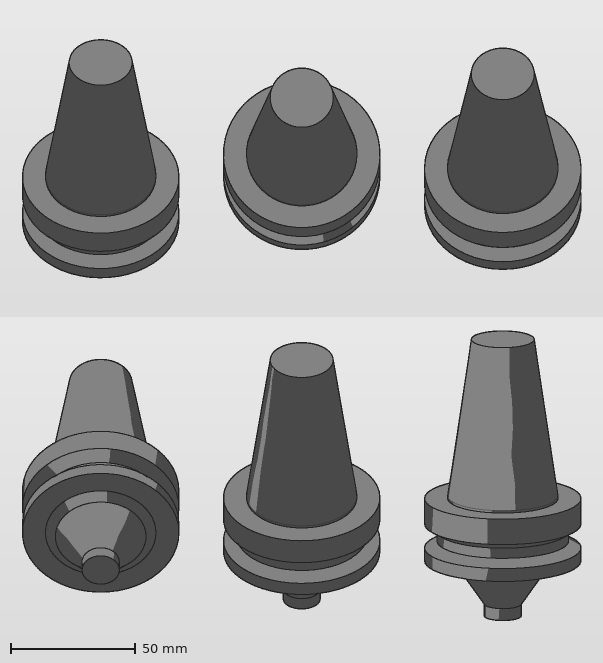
import cadquery as cq
import math


gauge_diameter = 44.45
taper_length = 65.4
taper_ratio = 7 / 24
small_end_diameter = gauge_diameter - taper_ratio * taper_length

flange_diameter = 63.0
flange_top = -1.0
flange_bottom = -27.0

groove_floor_diameter = 53.0
groove_centre = -16.6
groove_mouth_width = 10.0
groove_wall_angle = 30.0
groove_depth = (flange_diameter - groove_floor_diameter) / 2
groove_wall_height = groove_depth * math.tan(math.radians(groove_wall_angle))

shoulder_diameter = gauge_diameter
shoulder_angle = 30.0
nose_diameter = 36.5
shoulder_height = (shoulder_diameter - nose_diameter) / 2 * math.tan(math.radians(shoulder_angle))
shoulder_bottom = flange_bottom - shoulder_height
pin_diameter = 15.0
pin_length = 5.0
nose_end = -50.0
pin_top = nose_end + pin_length


def make_body():
    """Solid of revolution with the shank, plain flange and nose."""
    profile = [
        (0, taper_length),
        (small_end_diameter / 2, taper_length),
        (gauge_diameter / 2, 0),
        (gauge_diameter / 2, flange_top),
        (flange_diameter / 2, flange_top),
        (flange_diameter / 2, flange_bottom),
        (shoulder_diameter / 2, flange_bottom),
        (nose_diameter / 2, shoulder_bottom),
        (pin_diameter / 2, pin_top),
        (pin_diameter / 2, nose_end),
        (0, nose_end),
    ]
    return cq.Workplane("YZ").polyline(profile).close().revolve(360, (0, 0), (0, 1))


def make_groove():
    """Ring of trapezoidal section that is removed from the flange rim."""
    mouth_top = groove_centre + groove_mouth_width / 2
    mouth_bottom = groove_centre - groove_mouth_width / 2
    section = [
        (flange_diameter / 2, mouth_top),
        (groove_floor_diameter / 2, mouth_top - groove_wall_height),
        (groove_floor_diameter / 2, mouth_bottom + groove_wall_height),
        (flange_diameter / 2, mouth_bottom),
    ]
    return cq.Workplane("YZ").polyline(section).close().revolve(360, (0, 0), (0, 1))


result = make_body().cut(make_groove())